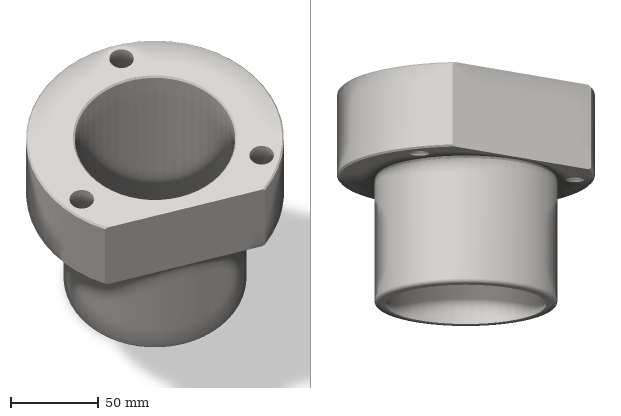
import cadquery as cq

flange_diameter = 147.9
flange_height = 50.0
flat_offset = 56.0
flange_chamfer = 1.0

total_height = 125.0
spigot_diameter = 105.0
spigot_edge_radius = 2.0

groove_height = 1.6
groove_depth = 0.7
groove_taper_height = 0.3

bore_diameter = 92.0
bore_chamfer = 1.0

bolt_count = 3
bolt_circle_radius = 62.5
bolt_hole_diameter = 11.0
counterbore_diameter = 14.0
counterbore_depth = 29.6

flange_bottom = total_height - flange_height


def turned_body():
    """Revolve the flange, groove, spigot and bore as one profile."""
    flange_radius = flange_diameter / 2
    spigot_radius = spigot_diameter / 2
    groove_radius = spigot_radius - groove_depth
    bore_radius = bore_diameter / 2
    profile = (
        cq.Workplane("XZ")
        .moveTo(bore_radius, 0)
        .lineTo(spigot_radius - spigot_edge_radius, 0)
        .radiusArc((spigot_radius, spigot_edge_radius), -spigot_edge_radius)
        .lineTo(spigot_radius, flange_bottom - groove_height)
        .lineTo(groove_radius, flange_bottom - groove_height + groove_taper_height)
        .lineTo(groove_radius, flange_bottom)
        .lineTo(flange_radius - flange_chamfer, flange_bottom)
        .lineTo(flange_radius, flange_bottom + flange_chamfer)
        .lineTo(flange_radius, total_height - flange_chamfer)
        .lineTo(flange_radius - flange_chamfer, total_height)
        .lineTo(bore_radius + bore_chamfer, total_height)
        .lineTo(bore_radius, total_height - bore_chamfer)
        .close()
    )
    return profile.revolve(360, (0, 0, 0), (0, 1, 0))


def cut_flat(body):
    """Remove everything beyond the flat on the +X side."""
    waste = cq.Workplane("XY").box(
        flange_diameter, flange_diameter, total_height, centered=(False, True, False)
    )
    return body.cut(waste.translate((flat_offset, 0, 0)))


def drill_bolt_holes(body):
    """Drill the counterbored holes, evenly spaced with one on the -X axis."""
    return (
        body.faces(">Z")
        .workplane(origin=(0, 0, total_height))
        .polarArray(bolt_circle_radius, 180, 360, bolt_count)
        .cboreHole(bolt_hole_diameter, counterbore_diameter, counterbore_depth, flange_height)
    )


result = drill_bolt_holes(cut_flat(turned_body()))